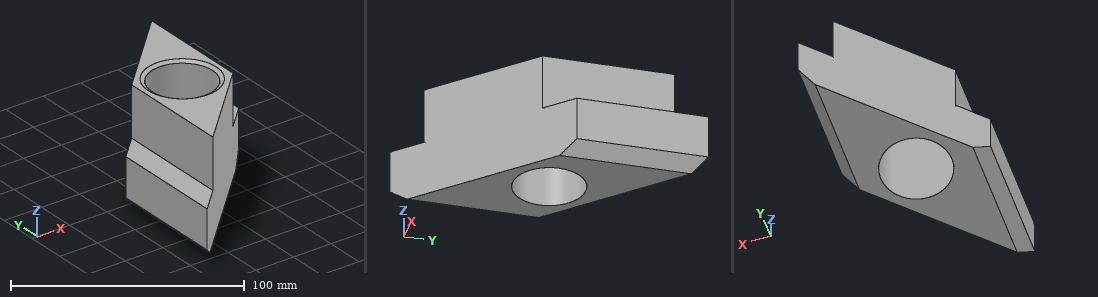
import cadquery as cq

base_width = 65.0
length = 123.7
height = 52.0
stem_width = 41.3
base_height = 26.0
bottom_chamfer = 5.9
bore_diameter = 32.2
rim_diameter = 36.1
rim_depth = 1.1

half_base = base_width / 2
half_stem = stem_width / 2
half_length = length / 2


def tee_bar():
    """T-shaped section with chamfered bottom edges, running along Y."""
    section = [
        (-half_base + bottom_chamfer, 0),
        (half_base - bottom_chamfer, 0),
        (half_base, bottom_chamfer),
        (half_base, base_height),
        (half_stem, base_height),
        (half_stem, height),
        (-half_stem, height),
        (-half_stem, base_height),
        (-half_base, base_height),
        (-half_base, bottom_chamfer),
    ]
    return cq.Workplane("XZ").polyline(section).close().extrude(half_length, both=True)


def rhomboid_block():
    """Upright block whose end faces lie at 45 degrees to the bar."""
    side_length = length - base_width
    plan = [
        (-half_base, -half_length),
        (half_base, half_length - side_length),
        (half_base, half_length),
        (-half_base, -half_length + side_length),
    ]
    return cq.Workplane("XY").polyline(plan).close().extrude(height)


def bore():
    """Vertical through hole with a conical rim at the top."""
    hole = cq.Workplane("XY").circle(bore_diameter / 2).extrude(height)
    rim = (
        cq.Workplane("XY", origin=(0, 0, height - rim_depth))
        .circle(bore_diameter / 2)
        .workplane(offset=rim_depth)
        .circle(rim_diameter / 2)
        .loft()
    )
    return hole.union(rim)


result = tee_bar().intersect(rhomboid_block()).cut(bore())